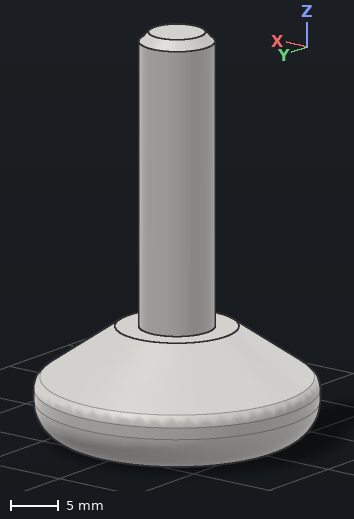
import cadquery as cq
import math

total_height = 44
foot_diameter = 30.0
foot_height = 12.0
stud_diameter = 8.0

neck_diameter = 13.0
cone_slope = 35
shoulder_radius = 1.5
bottom_radius = 4.0

stud_chamfer = 1.0

foot_radius = foot_diameter / 2
neck_radius = neck_diameter / 2
rim_height = foot_height - (foot_radius - neck_radius) * math.tan(math.radians(cone_slope))


def make_foot():
    """Round foot: straight rim, conical top and rounded lower edge."""
    profile = (
        cq.Workplane("XZ")
        .lineTo(foot_radius, 0)
        .lineTo(foot_radius, rim_height)
        .lineTo(neck_radius, foot_height)
        .lineTo(0, foot_height)
        .close()
    )
    foot = profile.revolve(360, (0, 0, 0), (0, 1, 0))
    foot = foot.edges("%CIRCLE").edges(">>Z[1]").fillet(shoulder_radius)
    return foot.faces("<Z").edges().fillet(bottom_radius)


def make_stud():
    """Plain stud standing on the foot, with a chamfered tip."""
    stud = cq.Workplane("XY").workplane(offset=foot_height)
    stud = stud.circle(stud_diameter / 2).extrude(total_height - foot_height)
    return stud.faces(">Z").edges().chamfer(stud_chamfer)


result = make_foot().union(make_stud())